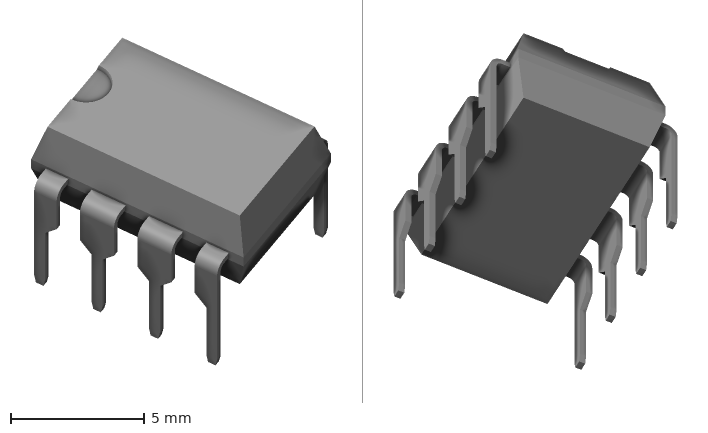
import cadquery as cq
import math


body_length = 9.4
body_width = 6.2
body_height = 3.84
band_height = 0.51
draft_angle = 15.0
body_top = body_height / 2
cap_height = (body_height - band_height) / 2

notch_radius = 1.0
notch_inset = 0.5
notch_depth = 0.2
notch_floor_radius = notch_radius - notch_depth * math.tan(math.radians(draft_angle))

leads_per_row = 4
lead_pitch = 2.54
row_span = 7.87
overall_height = 7.36
lead_thickness = 0.25
bend_radius = 0.5
inner_bend_radius = bend_radius - lead_thickness
leg_width = 0.48
shoulder_width = 1.5
tip_height = 0.37
tip_inset = 0.075
lead_embed = 0.19

lead_top = lead_thickness / 2
lead_bottom = body_top - overall_height
shoulder_bottom = -body_height / 2
shoulder_step = (shoulder_width - leg_width) / 2
lead_root_y = body_width / 2 - lead_embed
lead_outer_y = row_span / 2


def make_body():
    """Straight middle band with a drafted cap above and below, less the notch."""
    band = cq.Workplane("XY").box(body_length, body_width, band_height)
    upper_cap = (
        cq.Workplane("XY", origin=(0, 0, band_height / 2))
        .rect(body_length, body_width)
        .extrude(cap_height, taper=draft_angle)
    )
    lower_cap = upper_cap.mirror("XY")
    notch = cq.Solid.makeCone(
        notch_radius,
        notch_floor_radius,
        notch_depth,
        pnt=cq.Vector(-body_length / 2 + notch_inset, 0, body_top),
        dir=cq.Vector(0, 0, -1),
    )
    return band.union(upper_cap).union(lower_cap).cut(cq.Workplane(notch))


def make_bent_strip():
    """Side profile of the +Y leads, bent from horizontal to vertical, as wide as a shoulder."""
    inner_y = lead_outer_y - lead_thickness
    bend_y = lead_outer_y - bend_radius
    bend_z = lead_top - bend_radius
    diagonal = math.sqrt(0.5)
    return (
        cq.Workplane("YZ")
        .moveTo(lead_root_y, lead_top)
        .lineTo(bend_y, lead_top)
        .threePointArc(
            (bend_y + bend_radius * diagonal, bend_z + bend_radius * diagonal),
            (lead_outer_y, bend_z),
        )
        .lineTo(lead_outer_y, lead_bottom)
        .lineTo(inner_y, lead_bottom)
        .lineTo(inner_y, bend_z)
        .threePointArc(
            (bend_y + inner_bend_radius * diagonal, bend_z + inner_bend_radius * diagonal),
            (bend_y, -lead_top),
        )
        .lineTo(lead_root_y, -lead_top)
        .close()
        .extrude(shoulder_width / 2, both=True)
    )


def make_lead(left_step, right_step):
    """One +Y lead at X = 0; each step is how far its shoulder reaches beyond the leg on that side."""
    half_leg = leg_width / 2
    half_tip = half_leg - tip_inset
    tip_start = lead_bottom + tip_height
    outline = [
        (-half_leg - left_step, lead_top),
        (-half_leg - left_step, shoulder_bottom),
        (-half_leg, shoulder_bottom - left_step),
        (-half_leg, tip_start),
        (-half_tip, lead_bottom),
        (half_tip, lead_bottom),
        (half_leg, tip_start),
        (half_leg, shoulder_bottom - right_step),
        (half_leg + right_step, shoulder_bottom),
        (half_leg + right_step, lead_top),
    ]
    outline = list(dict.fromkeys(outline))
    front_shape = cq.Workplane("XZ").polyline(outline).close().extrude(-lead_outer_y)
    return make_bent_strip().intersect(front_shape)


result = make_body()
for index in range(leads_per_row):
    left_step = 0 if index == 0 else shoulder_step
    right_step = 0 if index == leads_per_row - 1 else shoulder_step
    lead_x = (index - (leads_per_row - 1) / 2) * lead_pitch
    lead = make_lead(left_step, right_step).translate((lead_x, 0, 0))
    result = result.union(lead).union(lead.mirror("XZ"))